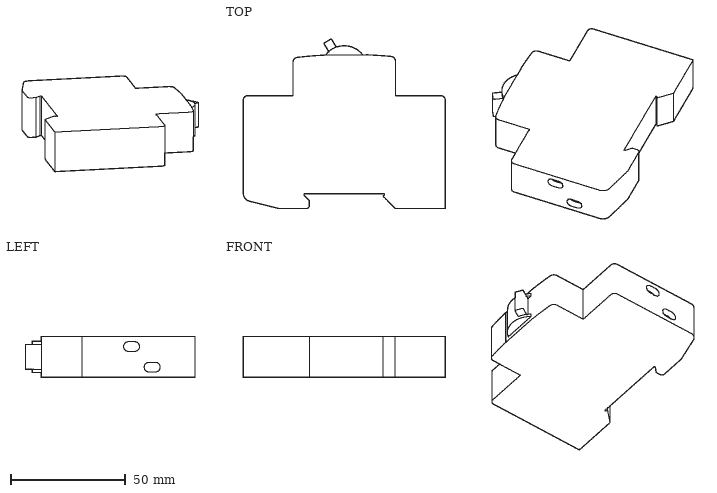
import cadquery as cq

WIDTH = 88.2
THICKNESS = 17.9
SHOULDER_HEIGHT = 49.3
SHOULDER_ROUND = 2.0

NECK_LEFT = 21.7
NECK_RIGHT = 66.5
NECK_LEFT_HEIGHT = 65.8
NECK_RIGHT_HEIGHT = 66.2
NECK_ROUND = 2.3
CROWN_X = 46.0
CROWN_HEIGHT = 67.3

FLAT_LEFT = 32.6
FLAT_RIGHT = 53.9
FLAT_HEIGHT = 67.0

SLOPE_RUN = 15.5
SLOPE_RISE = 3.9
SLOPE_ROUND = 3.7

CHANNEL_HEIGHT = 6.4
CHANNEL_LEFT = 26.55
CHANNEL_RIGHT = 61.65
CHANNEL_LIP = 0.5
HOOK_TIP_X = 28.9
HOOK_ROUND = 1.4
RIGHT_LIP_X = 60.95
RIGHT_LIP_HEIGHT = 5.5
RIGHT_FOOT_X = 66.3

DRUM_X = WIDTH / 2
DRUM_RADIUS = 10.1
DRUM_TOP = 71.1
DRUM_LENGTH = 13.8
LEVER_TILT = 31.0
LEVER_REACH = 14.2
LEVER_WIDTH = 3.9
LEVER_LENGTH = 10.9
LEVER_ROUND = 0.4

SLOT_LENGTH = 7.0
SLOT_WIDTH = 4.2
SLOT_DEPTH = 3.1
SLOT_MID_Y = 23.2
SLOT_SPACING_Y = 9.0
SLOT_SPACING_Z = 9.0


def housing():
    hook_lip = CHANNEL_HEIGHT - CHANNEL_LIP
    hook_overhang = HOOK_TIP_X - CHANNEL_LEFT
    body = (
        cq.Workplane("XY")
        .moveTo(0, SLOPE_RISE)
        .lineTo(SLOPE_RUN, 0)
        .lineTo(HOOK_TIP_X, 0)
        .lineTo(HOOK_TIP_X, hook_lip - hook_overhang)
        .lineTo(CHANNEL_LEFT, hook_lip)
        .lineTo(CHANNEL_LEFT, CHANNEL_HEIGHT)
        .lineTo(CHANNEL_RIGHT, CHANNEL_HEIGHT)
        .lineTo(CHANNEL_RIGHT, CHANNEL_HEIGHT - CHANNEL_LIP)
        .lineTo(RIGHT_LIP_X, RIGHT_LIP_HEIGHT)
        .lineTo(RIGHT_FOOT_X, 0)
        .lineTo(WIDTH, 0)
        .lineTo(WIDTH, SHOULDER_HEIGHT)
        .lineTo(NECK_RIGHT, SHOULDER_HEIGHT)
        .lineTo(NECK_RIGHT, NECK_RIGHT_HEIGHT)
        .threePointArc((CROWN_X, CROWN_HEIGHT), (NECK_LEFT, NECK_LEFT_HEIGHT))
        .lineTo(NECK_LEFT, SHOULDER_HEIGHT)
        .lineTo(0, SHOULDER_HEIGHT)
        .close()
        .extrude(THICKNESS)
    )
    rounds = [
        (0, SLOPE_RISE, SLOPE_ROUND),
        (HOOK_TIP_X, 0, HOOK_ROUND),
        (0, SHOULDER_HEIGHT, SHOULDER_ROUND),
        (WIDTH, SHOULDER_HEIGHT, SHOULDER_ROUND),
        (NECK_LEFT, NECK_LEFT_HEIGHT, NECK_ROUND),
        (NECK_RIGHT, NECK_RIGHT_HEIGHT, NECK_ROUND),
    ]
    for x, y, radius in rounds:
        corner = cq.selectors.NearestToPointSelector((x, y, THICKNESS / 2))
        body = body.edges("|Z").edges(corner).fillet(radius)
    return body


def toggle_flat():
    removed_height = DRUM_TOP - FLAT_HEIGHT
    removed = cq.Workplane("XY").box(
        FLAT_RIGHT - FLAT_LEFT, removed_height, THICKNESS, centered=False
    )
    return removed.translate((FLAT_LEFT, FLAT_HEIGHT, 0))


def toggle():
    drum = cq.Workplane("XY").circle(DRUM_RADIUS).extrude(DRUM_LENGTH / 2, both=True)
    lever = (
        cq.Workplane("XY")
        .center(0, LEVER_REACH / 2)
        .rect(LEVER_WIDTH, LEVER_REACH)
        .extrude(LEVER_LENGTH / 2, both=True)
        .edges("|Z and >Y")
        .fillet(LEVER_ROUND)
    )
    notch = (
        cq.Workplane("XY")
        .center(-LEVER_WIDTH / 2 - DRUM_RADIUS / 2, DRUM_RADIUS / 2)
        .rect(DRUM_RADIUS, DRUM_RADIUS)
        .extrude(LEVER_LENGTH / 2, both=True)
    )
    upright = drum.cut(notch).union(lever)
    tilted = upright.rotate((0, 0, 0), (0, 0, 1), LEVER_TILT)
    return tilted.translate((DRUM_X, DRUM_TOP - DRUM_RADIUS, THICKNESS / 2))


def terminal_slots():
    mid_z = THICKNESS / 2
    centers = [
        (SLOT_MID_Y + side * SLOT_SPACING_Y / 2, mid_z + side * SLOT_SPACING_Z / 2)
        for side in (-1, 1)
    ]
    outlines = cq.Workplane("YZ").pushPoints(centers).slot2D(SLOT_LENGTH, SLOT_WIDTH)
    return outlines.extrude(SLOT_DEPTH)


result = housing().cut(toggle_flat()).union(toggle()).cut(terminal_slots())